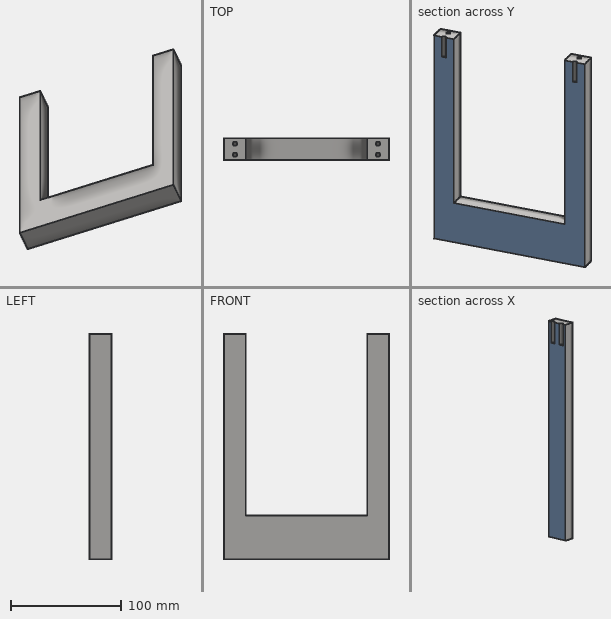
import cadquery as cq

width = 150.0
depth = 20.0
height = 205.0

leg_width = 20.0
base_height = 40.0

hole_diameter = 3.8
hole_spacing = 10.0
hole_depth = 20.0

leg_offset = (width - leg_width) / 2


def make_frame():
    """Rectangular plate with a slot open at the top, leaving two legs on a base."""
    plate = cq.Workplane("XY").box(width, depth, height, centered=(True, True, False))
    opening = (
        cq.Workplane("XY")
        .workplane(offset=base_height)
        .rect(width - 2 * leg_width, depth)
        .extrude(height - base_height)
    )
    return plate.cut(opening)


def drill_leg_holes(frame):
    """Two holes across the depth of each leg, drilled down from its top face."""
    centers = [
        (x, y)
        for x in (-leg_offset, leg_offset)
        for y in (-hole_spacing / 2, hole_spacing / 2)
    ]
    drills = (
        cq.Workplane("XY")
        .workplane(offset=height - hole_depth)
        .pushPoints(centers)
        .circle(hole_diameter / 2)
        .extrude(hole_depth)
    )
    return frame.cut(drills)


result = drill_leg_holes(make_frame())